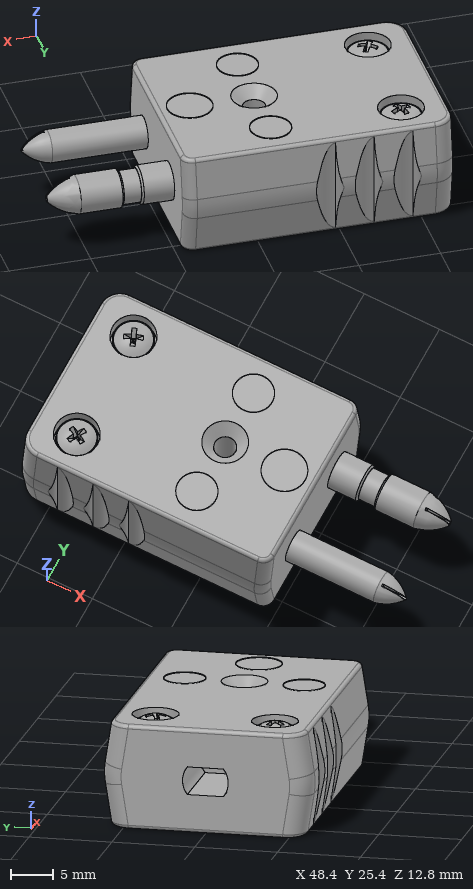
import cadquery as cq
import math


overall_length = 48.35
housing_length = 33.3
housing_height = 12.75
housing_width = 25.4
crest_half_height = 1.3
side_taper = math.radians(9)
cable_corner_radius = 2.5
pin_corner_radius = 1.45
rim_radius = 0.5

grip_count = 3
grip_first_x = 5.25
grip_pitch = 4.75
grip_depth = 0.8
grip_run_radius = 4.35

cable_diameter = 5.5
cable_height = 3.4
cable_depth = 9.65

row_offset = 7.2
label_x = 21.35
label_diameter = 5.0
label_thickness = 0.5
label_recess = 0.1
mount_hole_diameter = 2.7
countersink_diameter = 5.5
countersink_angle = 90
spot_x = 29.25
spot_diameter = 5.5
spot_depth = 0.1

screw_x = 5.4
screw_bore_diameter = 5.5
screw_bore_depth = 1.95
head_diameter = 5.0
dome_diameter = 4.75
head_edge_height = 1.0
dome_height = 0.85
cross_length = 2.7
cross_width = 0.6
cross_depth = 1.55
screw_turns = {1: 22, -1: 61}

pin_offset = 5.55
thick_pin_diameter = 4.75
thin_pin_diameter = 4.0
thick_nose_x = 44.7
thin_nose_x = 45.0
nose_mid_x = 46.55
thick_nose_mid_radius = 1.75
thin_nose_mid_radius = 1.5
thick_tip_radius = 0.4
thin_tip_radius = 0.1
neck_start_x = 37.25
neck_end_x = 39.4
neck_diameter = 4.1
neck_chamfer = 0.25
slit_start_x = 45.4
slit_width = 0.3
slit_tilt = 14

top_z = housing_height / 2
half_width = housing_width / 2
bore_floor_z = top_z - screw_bore_depth
label_top_z = top_z - label_recess
label_floor_z = label_top_z - label_thickness


def housing_block():
    crest_radius = crest_half_height / math.sin(side_taper)
    crest_edge_y = half_width - crest_radius * (1 - math.cos(side_taper))
    top_y = crest_edge_y - (top_z - crest_half_height) * math.tan(side_taper)
    block = (
        cq.Workplane("YZ")
        .moveTo(-top_y, -top_z)
        .lineTo(top_y, -top_z)
        .lineTo(crest_edge_y, -crest_half_height)
        .threePointArc((half_width, 0), (crest_edge_y, crest_half_height))
        .lineTo(top_y, top_z)
        .lineTo(-top_y, top_z)
        .lineTo(-crest_edge_y, crest_half_height)
        .threePointArc((-half_width, 0), (-crest_edge_y, -crest_half_height))
        .close()
        .extrude(housing_length)
    )
    block = block.faces("<X").edges("not #Z").fillet(cable_corner_radius)
    block = block.faces(">X").edges("not #Z").fillet(pin_corner_radius)
    return block.faces("<Z or >Z").edges().fillet(rim_radius)


def grip_cutters():
    """Notches in the +Y side, each with a rounded shoulder and a long concave run-out."""
    valley_y = half_width - grip_depth
    run_length = math.sqrt(grip_run_radius**2 - (grip_run_radius - grip_depth) ** 2)
    run_mid_x = run_length / 2
    run_mid_y = valley_y + grip_run_radius - math.sqrt(grip_run_radius**2 - run_mid_x**2)
    shoulder_mid = grip_depth * math.sqrt(0.5)
    notch = (
        cq.Workplane("XY")
        .moveTo(-grip_depth, half_width)
        .threePointArc((shoulder_mid - grip_depth, valley_y + shoulder_mid), (0, valley_y))
        .threePointArc((run_mid_x, run_mid_y), (run_length, half_width))
        .close()
        .extrude(top_z, both=True)
    )
    return [notch.translate((grip_first_x + i * grip_pitch, 0, 0)) for i in range(grip_count)]


def cable_entry():
    circle = cq.Workplane("YZ").circle(cable_diameter / 2).extrude(cable_depth)
    slab = cq.Workplane("YZ").rect(cable_diameter, cable_height).extrude(cable_depth)
    return circle.intersect(slab)


def make_housing():
    housing = housing_block()
    for notch in grip_cutters():
        housing = housing.cut(notch).cut(notch.mirror("XZ"))
    housing = housing.cut(cable_entry())

    top = cq.Workplane("XY", origin=(0, 0, top_z))
    screw_points = [(screw_x, row_offset), (screw_x, -row_offset)]
    label_points = [(label_x, row_offset), (label_x, -row_offset)]
    screw_bores = top.pushPoints(screw_points).circle(screw_bore_diameter / 2).extrude(-screw_bore_depth)
    label_seats = (
        top.pushPoints(label_points).circle(label_diameter / 2).extrude(-label_recess - label_thickness)
    )
    spot = top.center(spot_x, 0).circle(spot_diameter / 2).extrude(-spot_depth)
    housing = housing.cut(screw_bores).cut(label_seats).cut(spot)
    return (
        housing.copyWorkplane(top)
        .center(label_x, 0)
        .cskHole(mount_hole_diameter, countersink_diameter, countersink_angle)
    )


def make_label(side):
    return (
        cq.Workplane("XY", origin=(label_x, side * row_offset, label_floor_z))
        .circle(label_diameter / 2)
        .extrude(label_thickness)
    )


def make_screw(side, turn):
    """Domed head on the bore floor, with a cross recess whose arms slope down to its middle."""
    crown = head_edge_height + dome_height
    dome_radius = dome_diameter / 2
    sphere_radius = (dome_radius**2 + dome_height**2) / (2 * dome_height)
    arc_mid_x = dome_radius / 2
    arc_mid_z = crown - sphere_radius + math.sqrt(sphere_radius**2 - arc_mid_x**2)
    head = (
        cq.Workplane("XZ")
        .lineTo(head_diameter / 2, 0)
        .lineTo(head_diameter / 2, head_edge_height)
        .lineTo(dome_radius, head_edge_height)
        .threePointArc((arc_mid_x, arc_mid_z), (0, crown))
        .close()
        .revolve(360, (0, 0, 0), (0, 1, 0))
    )
    arm = (
        cq.Workplane("XZ")
        .moveTo(-cross_length / 2, crown)
        .lineTo(0, crown - cross_depth)
        .lineTo(cross_length / 2, crown)
        .close()
        .extrude(cross_width / 2, both=True)
    )
    for angle in (turn, turn + 90):
        head = head.cut(arm.rotate((0, 0, 0), (0, 0, 1), angle))
    return head.translate((screw_x, side * row_offset, bore_floor_z))


def pin_blank(side, diameter, nose_x, nose_mid_radius, tip_radius):
    """Round pin standing on the housing's end face, with a slit in the upper half of its pointed nose."""
    pin = (
        cq.Workplane("XY")
        .moveTo(housing_length, 0)
        .lineTo(housing_length, diameter / 2)
        .lineTo(nose_x, diameter / 2)
        .threePointArc((nose_mid_x, nose_mid_radius), (overall_length, tip_radius))
        .lineTo(overall_length, 0)
        .close()
        .revolve(360, (0, 0, 0), (1, 0, 0))
    )
    slit = (
        cq.Workplane("YZ", origin=(slit_start_x, 0, 0))
        .rect(slit_width, diameter, centered=(True, False))
        .extrude(overall_length - slit_start_x)
        .rotate((0, 0, 0), (1, 0, 0), slit_tilt)
    )
    return pin.cut(slit).translate((0, side * pin_offset, 0))


def make_thin_pin():
    return pin_blank(-1, thin_pin_diameter, thin_nose_x, thin_nose_mid_radius, thin_tip_radius)


def make_thick_pin():
    """Thick pin with a chamfered neck around it."""
    pin = pin_blank(1, thick_pin_diameter, thick_nose_x, thick_nose_mid_radius, thick_tip_radius)
    outer = thick_pin_diameter / 2
    neck = neck_diameter / 2
    groove = (
        cq.Workplane("XY")
        .moveTo(neck_start_x - neck_chamfer, outer)
        .lineTo(neck_start_x, outer - neck_chamfer)
        .lineTo(neck_start_x, neck)
        .lineTo(neck_end_x, neck)
        .lineTo(neck_end_x, outer - neck_chamfer)
        .lineTo(neck_end_x + neck_chamfer, outer)
        .close()
        .revolve(360, (0, 0, 0), (1, 0, 0))
        .translate((0, pin_offset, 0))
    )
    return pin.cut(groove)


housing = make_housing()
labels = [make_label(side) for side in (1, -1)]
screws = [make_screw(side, turn) for side, turn in screw_turns.items()]
thick_pin = make_thick_pin()
thin_pin = make_thin_pin()

result = cq.Compound.makeCompound(
    [
        housing.val(),
        *[label.val() for label in labels],
        *[screw.val() for screw in screws],
        thick_pin.val(),
        thin_pin.val(),
    ]
)